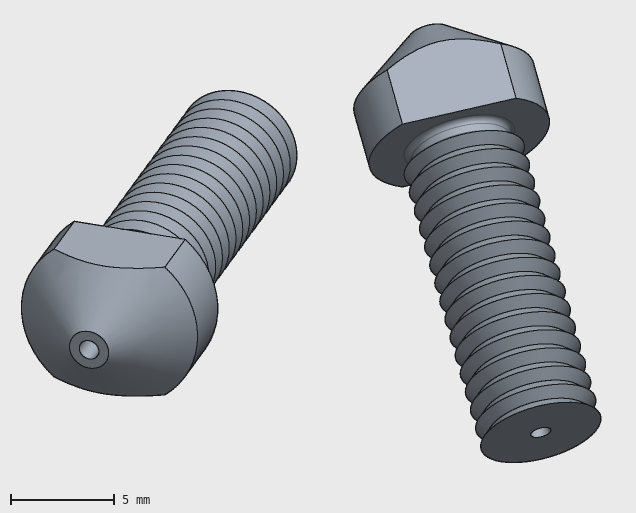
import cadquery as cq


head_radius = 9.0 / 2
head_length = 3.0
width_across_flats = 7.0

tip_radius = 2.0 / 2
cone_length = 3.0

neck_radius = 4.9 / 2
neck_length = 1.0
neck_fillet = 0.3

thread_radius = 6.0 / 2
thread_root_radius = 5.0 / 2
thread_pitch = 1.0
thread_ring_count = 15

orifice_diameter = 1.0

head_start = cone_length
head_end = head_start + head_length
neck_end = head_end + neck_length
thread_end = neck_end + thread_ring_count * thread_pitch


def add_neck(profile):
    """Continue the profile along the neck, with a quarter-round fillet at each end."""
    shoulder_radius = neck_radius + neck_fillet
    return (
        profile.lineTo(shoulder_radius, head_end)
        .radiusArc((neck_radius, head_end + neck_fillet), neck_fillet)
        .lineTo(neck_radius, neck_end - neck_fillet)
        .radiusArc((shoulder_radius, neck_end), neck_fillet)
    )


def add_thread(profile):
    """Continue the profile along the thread, one V groove per pitch."""
    profile = profile.lineTo(thread_radius, neck_end)
    for ring in range(thread_ring_count):
        crest = neck_end + ring * thread_pitch
        profile = profile.lineTo(thread_root_radius, crest + thread_pitch / 2)
        profile = profile.lineTo(thread_radius, crest + thread_pitch)
    return profile


def make_turned_body():
    """Revolve the half profile about the Y axis."""
    profile = (
        cq.Workplane("XY")
        .moveTo(0, 0)
        .lineTo(tip_radius, 0)
        .lineTo(head_radius, head_start)
        .lineTo(head_radius, head_end)
    )
    profile = add_thread(add_neck(profile))
    return profile.lineTo(0, thread_end).close().revolve(360, (0, 0, 0), (0, 1, 0))


def cut_flats(body):
    """Trim the head to two wrench flats facing +Z and -Z."""
    slab = cq.Workplane("XY").box(
        2 * head_radius, thread_end, width_across_flats, centered=(True, False, True)
    )
    return body.intersect(slab)


def cut_orifice(body):
    """Drill the hole along the whole axis."""
    drill = cq.Workplane("XZ").circle(orifice_diameter / 2).extrude(-thread_end)
    return body.cut(drill)


result = cut_orifice(cut_flats(make_turned_body()))